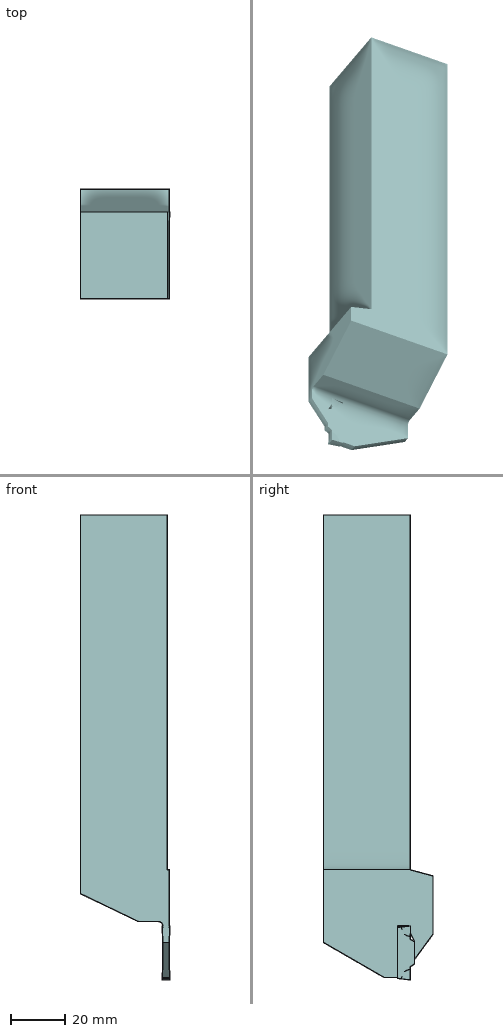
import cadquery as cq
import math


shank_side = 32.0
tool_length = 171.35

head_depth = 40.4
head_top = 40.65
head_top_slope = 15.0

insert_length = 20.0
tip_width = 3.0
tip_right = 33.04
seat_y = 27.35
edge_y = shank_side
clamp_y = 33.6
end_relief = 7.0
crown_start = 5.9
edge_land = 4.9
pad_length = 3.9
pad_depth = 3.15
pad_bulge = 1.75
pad_bulge_height = 3.35
side_relief = 0.2
back_taper = 0.15

blade_width = 2.5
blade_left = tip_right - tip_width / 2 - blade_width / 2
blade_right = blade_left + blade_width
ledge_fillet = 1.5
ledge_z = insert_length + ledge_fillet
bevel_top = 31.8
bevel_end_x = 21.4
blade_foot_z = 0.9
blade_foot_y = 22.4
blade_slope = 30.0
clamp_front_z = 16.9
clamp_nose_z = 7.6
pocket_corner_z = 17.3
pocket_crown_z = insert_length - crown_start
cut_margin = 1.0


def end_height(y):
    """Height of the relieved lower end face of the insert at a given Y."""
    return (edge_y - y) * math.tan(math.radians(end_relief))


def yz_prism(outline, left, right):
    """Extrude a closed YZ outline from X = left to X = right."""
    return outline.extrude(right - left).translate((left, 0, 0))


def make_holder():
    shank = cq.Workplane("XY").workplane(offset=ledge_z).rect(shank_side, shank_side, centered=False)
    shank = shank.extrude(tool_length - ledge_z)

    flange_drop = (head_depth - shank_side) * math.tan(math.radians(head_top_slope))
    slope_rise = blade_foot_y * math.tan(math.radians(blade_slope))
    side_outline = (
        cq.Workplane("YZ")
        .polyline([
            (0, head_top),
            (shank_side, head_top),
            (head_depth, head_top - flange_drop),
            (head_depth, clamp_front_z),
            (clamp_y, clamp_nose_z),
            (seat_y, blade_foot_z),
            (blade_foot_y, blade_foot_z),
            (0, blade_foot_z + slope_rise),
        ])
        .close()
    )
    head = yz_prism(side_outline, 0, blade_right)

    bevel_slope = (bevel_top - ledge_z) / bevel_end_x
    arc_inset = ledge_fillet * (1 - math.sqrt(0.5))
    thinning = (
        cq.Workplane("XZ")
        .moveTo(-cut_margin, bevel_top + bevel_slope * cut_margin)
        .lineTo(bevel_end_x, ledge_z)
        .lineTo(blade_left - ledge_fillet, ledge_z)
        .threePointArc(
            (blade_left - arc_inset, ledge_z - arc_inset),
            (blade_left, ledge_z - ledge_fillet),
        )
        .lineTo(blade_left, -cut_margin)
        .lineTo(-cut_margin, -cut_margin)
        .close()
        .extrude(-head_depth)
    )

    pocket_outline = (
        cq.Workplane("YZ")
        .polyline([
            (seat_y, 0),
            (seat_y, insert_length),
            (edge_y, insert_length),
            (edge_y, pocket_corner_z),
            (clamp_y, pocket_crown_z),
            (clamp_y, 0),
        ])
        .close()
    )
    pocket = yz_prism(pocket_outline, tip_right - tip_width, tip_right)
    return shank.union(head).cut(thinning).cut(pocket)


def pad_section(half_width):
    """Corners of a pad section across X and Z, narrowing away from the insert end."""
    far_half_width = half_width - back_taper
    return [
        (-half_width, 0),
        (half_width, 0),
        (far_half_width, pad_length),
        (-far_half_width, pad_length),
    ]


def make_insert():
    middle = insert_length / 2
    seat_end = end_height(seat_y)
    lower_half = [
        (seat_y, seat_end),
        (edge_y, 0),
        (edge_y, edge_land),
        (clamp_y, crown_start),
    ]
    upper_half = [(y, insert_length - z) for y, z in reversed(lower_half)]
    body_outline = cq.Workplane("YZ").polyline(lower_half + upper_half).close()
    insert = yz_prism(body_outline, blade_left, blade_right)

    pad_y = edge_y - pad_depth
    pad_outline = (
        cq.Workplane("YZ")
        .moveTo(edge_y, 0)
        .lineTo(edge_y, pad_length)
        .threePointArc((edge_y - pad_bulge, pad_bulge_height), (pad_y, end_height(pad_y)))
        .close()
    )
    pad = yz_prism(pad_outline, tip_right - tip_width, tip_right)
    edge_section = pad_section(tip_width / 2)
    rear_section = pad_section(tip_width / 2 - side_relief)
    taper = (
        cq.Workplane("XZ", origin=(tip_right - tip_width / 2, edge_y, 0))
        .polyline(edge_section)
        .close()
        .workplane(offset=pad_depth)
        .polyline(rear_section)
        .close()
        .loft(ruled=True)
    )
    pad = pad.intersect(taper)
    return insert.union(pad).union(pad.mirror("XY", (0, 0, middle)))


holder = make_holder()
insert = make_insert()
result = cq.Compound.makeCompound([holder.solids().val(), insert.solids().val()])